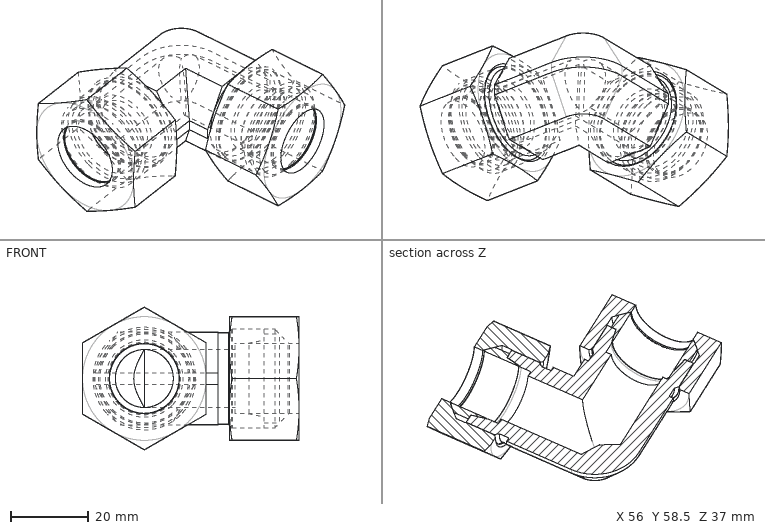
import cadquery as cq
import math

HEX_ACROSS_FLATS = 24.0
LEG_WIDTH = 26.0
LEG_LENGTH = 19.0
LEG_TURN = -90
BEND_TURN = 90
BORE_DIAMETER = 15.0
DRILL_POINT_ANGLE = 120.0

RELIEF_DIAMETER = 23.7
RELIEF_END = 21.7
THREAD_DIAMETER = 25.5
THREAD_RUNOUT_LENGTH = 1.1
SPIGOT_END = 31.0

TUBE_DIAMETER = 18.0
TUBE_STOP = 23.5
CONE_MOUTH_DIAMETER = 20.0
CONE_HALF_ANGLE = 12.0

NUT_ACROSS_FLATS = 32.0
NUT_START = 22.0
NUT_END = 40.0
NUT_CHAMFER_ANGLE = 15.0
NUT_FACE_DIAMETER = 32.0
CHAMFER_OVERRUN = 1.0
NUT_COUNTERSINK_DIAMETER = 26.6
NUT_COUNTERSINK_DEPTH = 0.5
NUT_LAND_LENGTH = 2.5

RING_NOSE = 27.0
RING_COLLAR_DIAMETER = 23.0
RING_END_GAP = 0.4

tube_radius = TUBE_DIAMETER / 2
bore_radius = BORE_DIAMETER / 2
thread_radius = THREAD_DIAMETER / 2
mouth_radius = CONE_MOUTH_DIAMETER / 2
cone_slope = math.tan(math.radians(CONE_HALF_ANGLE))
cone_start = SPIGOT_END - (mouth_radius - tube_radius) / cone_slope
seat_end = NUT_END - NUT_LAND_LENGTH


def revolve_about_x(points):
    """Turn a closed (x, radius) outline about the X axis."""
    return cq.Workplane("XY").polyline(points).close().revolve(360, (0, 0, 0), (1, 0, 0))


def turn_about_z(body, angle):
    """Turn a body about the Z axis through the origin."""
    return body.rotate((0, 0, 0), (0, 0, 1), angle)


def half_section_points():
    """Half of the leg section, as (distance from axis, height)."""
    half_height = HEX_ACROSS_FLATS / 2
    half_width = LEG_WIDTH / 2
    half_flat = half_height * math.tan(math.radians(30))
    corner = half_height / math.cos(math.radians(30))
    half_side = (corner - half_width) * math.tan(math.radians(60))
    return [
        (0, -half_height),
        (half_flat, -half_height),
        (half_width, -half_side),
        (half_width, half_side),
        (half_flat, half_height),
        (0, half_height),
    ]


def make_leg():
    """Hexagonal leg with its relief groove and thread, along +X."""
    half = half_section_points()
    section = half + [(-y, z) for y, z in reversed(half[1:-1])]
    hexagon = cq.Workplane("YZ").polyline(section).close().extrude(LEG_LENGTH)
    relief_radius = RELIEF_DIAMETER / 2
    spigot = revolve_about_x([
        (0, 0),
        (0, relief_radius),
        (RELIEF_END, relief_radius),
        (RELIEF_END + THREAD_RUNOUT_LENGTH, thread_radius),
        (SPIGOT_END, thread_radius),
        (SPIGOT_END, 0),
    ])
    return hexagon.union(spigot)


def make_leg_bore():
    """Drilled passage, tube socket and 24 degree cone of the +X leg."""
    point_length = bore_radius / math.tan(math.radians(DRILL_POINT_ANGLE / 2))
    return revolve_about_x([
        (-point_length, 0),
        (0, bore_radius),
        (TUBE_STOP, bore_radius),
        (TUBE_STOP, tube_radius),
        (cone_start, tube_radius),
        (SPIGOT_END, mouth_radius),
        (SPIGOT_END, 0),
    ])


def make_elbow():
    """Two legs joined by a quarter turn of the same section."""
    leg = make_leg()
    quarter = (
        cq.Workplane("XZ").polyline(half_section_points()).close()
        .revolve(90, (0, 0, 0), (0, 1, 0))
    )
    bend = turn_about_z(quarter, BEND_TURN)
    bore = make_leg_bore()
    solid = leg.union(turn_about_z(leg, LEG_TURN)).union(bend)
    return solid.cut(bore).cut(turn_about_z(bore, LEG_TURN))


def make_nut():
    """Hexagonal union nut on the +X leg, with corners towards +Y and -Y."""
    corner_diameter = NUT_ACROSS_FLATS / math.cos(math.radians(30))
    hexagon = (
        cq.Workplane("YZ").workplane(offset=NUT_START)
        .polygon(6, corner_diameter).extrude(NUT_END - NUT_START)
    )
    outer_radius = corner_diameter / 2 + CHAMFER_OVERRUN
    face_radius = NUT_FACE_DIAMETER / 2
    chamfer_length = (outer_radius - face_radius) * math.tan(math.radians(NUT_CHAMFER_ANGLE))
    chamfered_blank = revolve_about_x([
        (NUT_START, 0),
        (NUT_START, face_radius),
        (NUT_START + chamfer_length, outer_radius),
        (NUT_END - chamfer_length, outer_radius),
        (NUT_END, face_radius),
        (NUT_END, 0),
    ])
    hole = revolve_about_x([
        (NUT_START, 0),
        (NUT_START, NUT_COUNTERSINK_DIAMETER / 2),
        (NUT_START + NUT_COUNTERSINK_DEPTH, thread_radius),
        (seat_end - (thread_radius - tube_radius), thread_radius),
        (seat_end, tube_radius),
        (NUT_END, tube_radius),
        (NUT_END, 0),
    ])
    return hexagon.intersect(chamfered_blank).cut(hole)


def make_cutting_ring():
    """Ring wedged between the leg's cone and the nut's 45 degree seat."""
    collar_radius = RING_COLLAR_DIAMETER / 2
    ring_end = seat_end - RING_END_GAP
    return revolve_about_x([
        (RING_NOSE, tube_radius),
        (RING_NOSE, mouth_radius - (SPIGOT_END - RING_NOSE) * cone_slope),
        (SPIGOT_END, mouth_radius),
        (SPIGOT_END, collar_radius),
        (seat_end - (collar_radius - tube_radius), collar_radius),
        (ring_end, tube_radius + RING_END_GAP),
        (ring_end, tube_radius),
    ])


elbow = make_elbow()

nuts = []
cutting_rings = []
for leg_turn, nut_roll in ((0, 0), (LEG_TURN, 90)):
    rolled_nut = make_nut().rotate((0, 0, 0), (1, 0, 0), nut_roll)
    nuts.append(turn_about_z(rolled_nut, leg_turn).val())
    cutting_rings.append(turn_about_z(make_cutting_ring(), leg_turn).val())

result = cq.Compound.makeCompound([elbow.val(), *nuts, *cutting_rings])